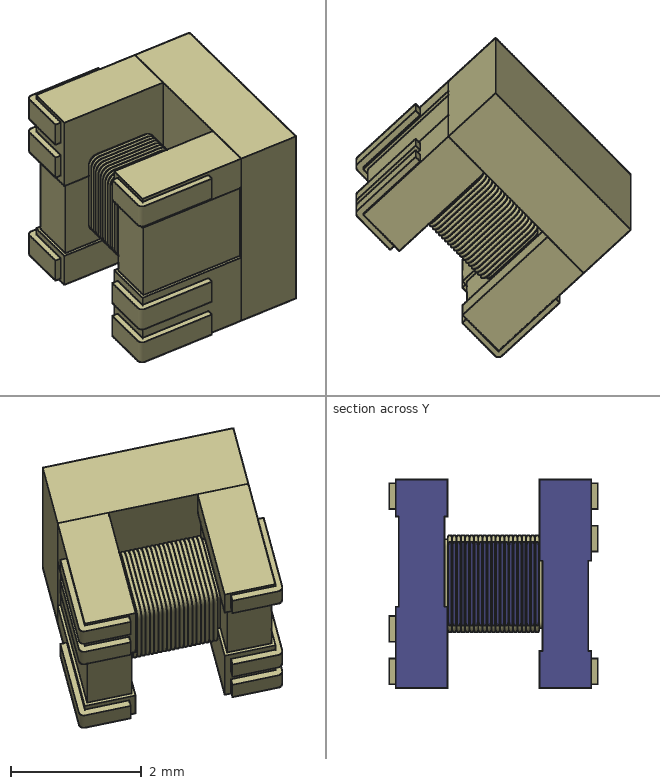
import cadquery as cq


WIDTH = 3.2
DEPTH = 2.9
HEIGHT = 3.2

TERMINAL_THICKNESS = 0.1
TERMINAL_HEIGHT = 0.397
TERMINAL_FRONT_LENGTH = 0.8
TERMINAL_SIDE_LENGTH = 1.302
TERMINAL_BEND_RADIUS = 0.077
TERMINAL_PITCH = 0.65
TERMINAL_END_MARGIN = 0.06

CORE_WIDTH = WIDTH - 2 * TERMINAL_THICKNESS
PLATE_DEPTH = 1.0
LEG_DEPTH = DEPTH - PLATE_DEPTH - TERMINAL_THICKNESS
LEG_WIDTH = 0.8
LEG_GAP = CORE_WIDTH - 2 * LEG_WIDTH
LEG_CENTER_X = (LEG_GAP + LEG_WIDTH) / 2

WAIST_INSET = 0.048
WAIST_SHORT_END = 0.573
WAIST_LONG_END = 1.248
WAIST_HEIGHT = HEIGHT - WAIST_SHORT_END - WAIST_LONG_END
WAIST_OFFSET_Z = (WAIST_LONG_END - WAIST_SHORT_END) / 2

TURN_COUNT = 21
TURN_PITCH = LEG_GAP / TURN_COUNT
WIRE_DIAMETER = 0.06
WIRE_RADIUS = WIRE_DIAMETER / 2
TURN_GAP = TURN_PITCH - WIRE_DIAMETER
COIL_DEPTH = 1.185
COIL_HEIGHT = 1.49
COIL_CENTER_Y = -0.78
COIL_CORNER_RADIUS = 0.165

POST_DEPTH = COIL_DEPTH - 2 * WIRE_DIAMETER
POST_HEIGHT = COIL_HEIGHT - 2 * WIRE_DIAMETER
POST_CORNER_RADIUS = COIL_CORNER_RADIUS - WIRE_DIAMETER


def make_back_plate():
    """Plain block behind the legs."""
    return cq.Workplane("XY").box(CORE_WIDTH, PLATE_DEPTH, HEIGHT).translate((0, PLATE_DEPTH / 2, 0))


def make_leg(side):
    """Upright leg at X side -1 or +1; its waist sits low on the left leg and high on the right."""
    leg = cq.Workplane("XY").box(LEG_WIDTH, LEG_DEPTH, HEIGHT).translate((0, -LEG_DEPTH / 2, 0))
    band = cq.Workplane("XY").box(LEG_WIDTH, LEG_DEPTH, WAIST_HEIGHT).translate((0, -LEG_DEPTH / 2, 0))
    waist_depth = LEG_DEPTH - WAIST_INSET
    waist = (
        cq.Workplane("XY")
        .box(LEG_WIDTH - 2 * WAIST_INSET, waist_depth, WAIST_HEIGHT)
        .translate((0, -waist_depth / 2, 0))
    )
    removed = band.cut(waist).translate((0, 0, side * WAIST_OFFSET_Z))
    return leg.cut(removed).translate((side * LEG_CENTER_X, 0, 0))


def make_post(length):
    """Bar along X with rounded edges, centred in the coil."""
    return (
        cq.Workplane("XY")
        .box(length, POST_DEPTH, POST_HEIGHT)
        .edges("|X")
        .fillet(POST_CORNER_RADIUS)
        .translate((0, COIL_CENTER_Y, 0))
    )


def make_core():
    """H-shaped core: two legs joined by the post."""
    post = make_post(2 * LEG_CENTER_X)
    return make_leg(-1).union(make_leg(1)).union(post).solids()


def make_coil():
    """Turns as one solid: a strip with a half-round ridge per turn, swept round the post."""
    path = make_post(LEG_GAP).faces("<X").wires()
    inner_z = POST_HEIGHT / 2
    wire_center_z = inner_z + WIRE_RADIUS
    crest_z = COIL_HEIGHT / 2
    start_x = -LEG_GAP / 2
    strip = cq.Workplane("XZ", origin=(0, COIL_CENTER_Y, 0)).moveTo(start_x, inner_z)
    strip = strip.lineTo(start_x, wire_center_z)
    for turn in range(TURN_COUNT):
        turn_start_x = start_x + turn * TURN_PITCH + TURN_GAP / 2
        turn_end_x = turn_start_x + WIRE_DIAMETER
        strip = strip.lineTo(turn_start_x, wire_center_z)
        strip = strip.threePointArc((turn_start_x + WIRE_RADIUS, crest_z), (turn_end_x, wire_center_z))
    strip = strip.lineTo(-start_x, wire_center_z).lineTo(-start_x, inner_z).close()
    return strip.sweep(path, transition="round")


def make_terminal(side, center_z):
    """Clip that wraps the outer front corner of the leg at X side -1 or +1."""
    outer_x = side * WIDTH / 2
    core_x = side * CORE_WIDTH / 2
    front_end_x = side * (WIDTH / 2 - TERMINAL_FRONT_LENGTH)
    front_y = -LEG_DEPTH - TERMINAL_THICKNESS
    side_end_y = front_y + TERMINAL_SIDE_LENGTH
    outline = [
        (outer_x, front_y),
        (front_end_x, front_y),
        (front_end_x, -LEG_DEPTH),
        (core_x, -LEG_DEPTH),
        (core_x, side_end_y),
        (outer_x, side_end_y),
    ]
    return (
        cq.Workplane("XY")
        .polyline(outline)
        .close()
        .extrude(TERMINAL_HEIGHT / 2, both=True)
        .edges(cq.selectors.NearestToPointSelector((outer_x, front_y, 0)))
        .fillet(TERMINAL_BEND_RADIUS)
        .translate((0, 0, center_z))
    )


back_plate = make_back_plate()
core = make_core()
coil = make_coil()

end_terminal_z = HEIGHT / 2 - TERMINAL_END_MARGIN - TERMINAL_HEIGHT / 2
terminals = []
for side in (-1, 1):
    long_end = -side
    for center_z in (
        long_end * end_terminal_z,
        long_end * (end_terminal_z - TERMINAL_PITCH),
        -long_end * end_terminal_z,
    ):
        terminals.append(make_terminal(side, center_z))

result = cq.Compound.makeCompound(
    [back_plate.val(), core.val(), coil.val()] + [terminal.val() for terminal in terminals]
)